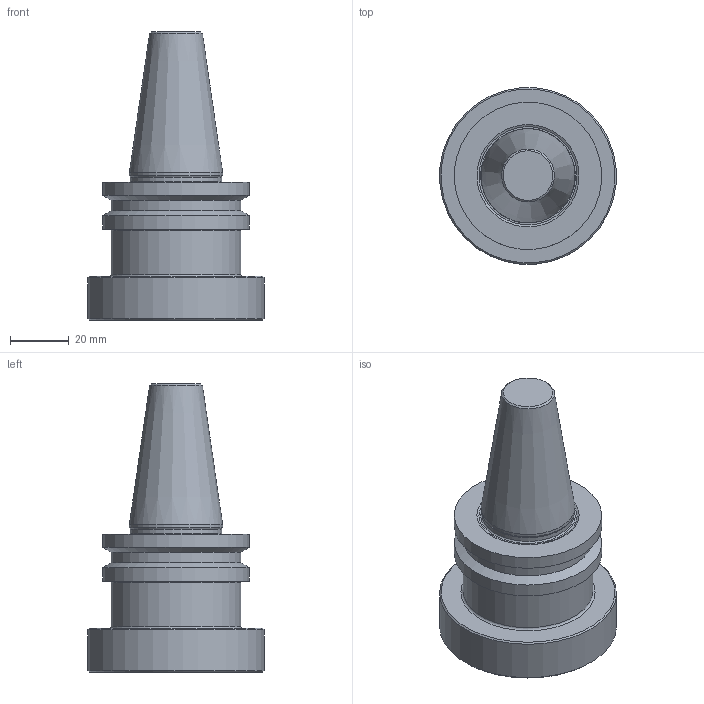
import cadquery as cq
import math

gauge_height = 50.0
base_height = 14.85

gauge_diameter = 31.75
gauge_radius = gauge_diameter / 2
taper_length = 47.8
taper_ratio = 7 / 24
taper_slope = taper_ratio / 2
tip_chamfer = 0.5
overall_height = gauge_height + taper_length
tip_radius = gauge_radius - taper_length * taper_slope
tip_chamfer_height = overall_height - tip_chamfer
tip_chamfer_radius = tip_radius + tip_chamfer * taper_slope

land_length = 1.0
land_bevel_length = 0.6
neck_radius = 15.55
land_bottom = gauge_height - land_length
neck_top = land_bottom - land_bevel_length

flange_radius = 25.0
flange_top_offset = 3.2
flange_bottom_offset = 19.1
flange_top = gauge_height - flange_top_offset
flange_bottom = gauge_height - flange_bottom_offset

groove_center_offset = 11.1
groove_center = gauge_height - groove_center_offset
groove_included_angle = 60.0
groove_floor_radius = 22.0
groove_floor_half_width = 1.75
groove_depth = flange_radius - groove_floor_radius
groove_flank_width = groove_depth * math.tan(math.radians(groove_included_angle / 2))
groove_mouth_half_width = groove_floor_half_width + groove_flank_width

undercut_depth = 0.4
undercut_outer_radius = 17.35
undercut_floor_radius = 16.65
undercut_floor = flange_top - undercut_depth
neck_fillet = 0.5

body_radius = 22.0
body_top_fillet = 0.5
body_bottom_fillet = 0.75
base_radius = 30.0
base_chamfer = 0.5

seam_angle = 54.7


def add_base(profile):
    """Chamfered base disc, from the axis to the foot of the body."""
    return (
        profile.moveTo(0, 0)
        .lineTo(base_radius - base_chamfer, 0)
        .lineTo(base_radius, base_chamfer)
        .lineTo(base_radius, base_height - base_chamfer)
        .lineTo(base_radius - base_chamfer, base_height)
        .lineTo(body_radius + body_bottom_fillet, base_height)
    )


def add_body(profile):
    """Cylindrical body with a fillet at each end, up to the flange underside."""
    return (
        profile.radiusArc((body_radius, base_height + body_bottom_fillet), body_bottom_fillet)
        .lineTo(body_radius, flange_bottom - body_top_fillet)
        .radiusArc((body_radius + body_top_fillet, flange_bottom), body_top_fillet)
    )


def add_flange(profile):
    """Flange rim with the V groove, up to the outer edge of its top face."""
    return (
        profile.lineTo(flange_radius, flange_bottom)
        .lineTo(flange_radius, groove_center - groove_mouth_half_width)
        .lineTo(groove_floor_radius, groove_center - groove_floor_half_width)
        .lineTo(groove_floor_radius, groove_center + groove_floor_half_width)
        .lineTo(flange_radius, groove_center + groove_mouth_half_width)
        .lineTo(flange_radius, flange_top)
    )


def add_neck(profile):
    """Flange top, its undercut and the neck, up to the gauge plane."""
    return (
        profile.lineTo(undercut_outer_radius, flange_top)
        .lineTo(undercut_floor_radius, undercut_floor)
        .lineTo(neck_radius + neck_fillet, undercut_floor)
        .radiusArc((neck_radius, undercut_floor + neck_fillet), neck_fillet)
        .lineTo(neck_radius, neck_top)
        .lineTo(gauge_radius, land_bottom)
        .lineTo(gauge_radius, gauge_height)
    )


def add_taper(profile):
    """Taper with a chamfered tip, back to the axis."""
    return (
        profile.lineTo(tip_chamfer_radius, tip_chamfer_height)
        .lineTo(tip_radius - tip_chamfer, overall_height)
        .lineTo(0, overall_height)
    )


def make_holder():
    """Revolve the half profile, drawn as radius against height, about Z."""
    profile = cq.Workplane("XZ")
    for add_section in (add_base, add_body, add_flange, add_neck, add_taper):
        profile = add_section(profile)
    holder = profile.close().revolve(360, (0, 0), (0, 1))
    return holder.rotate((0, 0, 0), (0, 0, 1), seam_angle)


result = make_holder()